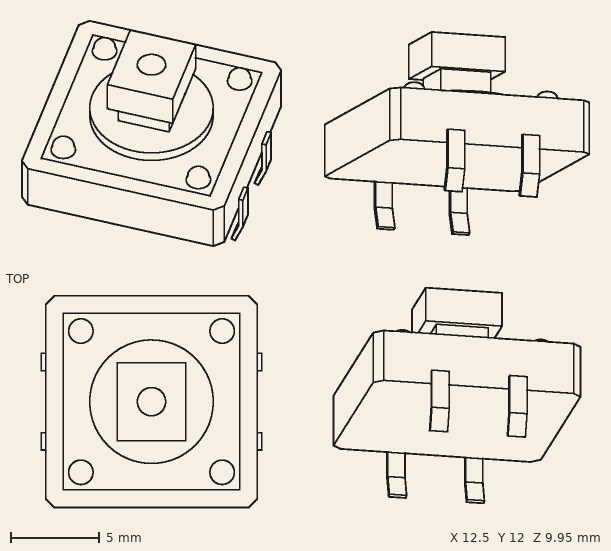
import cadquery as cq
import math

HOUSING_SIDE = 12.0
HOUSING_HEIGHT = 3.0
CORNER_CHAMFER = 0.5

STUD_OFFSET = 4.0
STUD_DIAMETER = 1.25
STUD_ROUND_RADIUS = 0.5

COVER_SIDE = 10.0
COVER_THICKNESS = 0.25

FLANGE_DIAMETER = 7.0
FLANGE_HEIGHT = 0.62
STEM_SIDE = 3.0
STEM_HEIGHT = 1.58
CAP_WIDTH = 3.88
CAP_LENGTH = 4.42
CAP_HEIGHT = 2.0
CAP_HOLE_DIAMETER = 1.6

LEAD_THICKNESS = 0.25
LEAD_WIDTH = 1.0
LEAD_OFFSET = 2.25
LEAD_TOP = 0.72
LEAD_BEND = -1.5
LEAD_TIP = -2.75
LEAD_ANGLE = math.radians(20)

COVER_BOTTOM = HOUSING_HEIGHT - COVER_THICKNESS


def square_block(side, height, bottom):
    return cq.Workplane("XY").workplane(offset=bottom).rect(side, side).extrude(height)


def make_stud():
    """Round stud on Z = 0: flared foot meeting a dome with a small flat on top."""
    radius = STUD_DIAMETER / 2
    foot_radius = radius + STUD_ROUND_RADIUS
    flat_radius = radius - STUD_ROUND_RADIUS
    waist_height = STUD_ROUND_RADIUS
    stud_height = waist_height + STUD_ROUND_RADIUS
    arc_reach = STUD_ROUND_RADIUS * math.sqrt(0.5)
    return (
        cq.Workplane("XZ")
        .lineTo(foot_radius, 0)
        .threePointArc(
            (foot_radius - arc_reach, waist_height - arc_reach),
            (radius, waist_height),
        )
        .threePointArc(
            (flat_radius + arc_reach, waist_height + arc_reach),
            (flat_radius, stud_height),
        )
        .lineTo(0, stud_height)
        .close()
        .revolve(360, (0, 0, 0), (0, 1, 0))
    )


def make_studs():
    stud = make_stud()
    return [
        stud.translate((x, y, COVER_BOTTOM))
        for x in (-STUD_OFFSET, STUD_OFFSET)
        for y in (-STUD_OFFSET, STUD_OFFSET)
    ]


def make_cover_blank():
    return square_block(COVER_SIDE, COVER_THICKNESS, COVER_BOTTOM)


def make_housing():
    housing = square_block(HOUSING_SIDE, HOUSING_HEIGHT, 0)
    housing = housing.edges("|Z").chamfer(CORNER_CHAMFER)
    housing = housing.cut(make_cover_blank())
    for stud in make_studs():
        housing = housing.union(stud)
    return housing


def make_cover():
    cover = make_cover_blank()
    for stud in make_studs():
        cover = cover.cut(stud)
    return cover


def make_button():
    return (
        cq.Workplane("XY")
        .workplane(offset=HOUSING_HEIGHT)
        .circle(FLANGE_DIAMETER / 2)
        .extrude(FLANGE_HEIGHT)
        .faces(">Z").workplane()
        .rect(STEM_SIDE, STEM_SIDE)
        .extrude(STEM_HEIGHT)
        .faces(">Z").workplane()
        .rect(CAP_WIDTH, CAP_LENGTH)
        .extrude(CAP_HEIGHT)
        .faces(">Z").workplane()
        .hole(CAP_HOLE_DIAMETER, CAP_HEIGHT)
    )


def make_lead():
    """Lead on the +X side, centred on Y = 0."""
    inner_x = HOUSING_SIDE / 2
    outer_x = inner_x + LEAD_THICKNESS
    tip_x = outer_x - (LEAD_BEND - LEAD_TIP) * math.tan(LEAD_ANGLE)
    tip_inner_x = tip_x - LEAD_THICKNESS * math.cos(LEAD_ANGLE)
    tip_inner_z = LEAD_TIP + LEAD_THICKNESS * math.sin(LEAD_ANGLE)
    inner_bend = LEAD_BEND + LEAD_THICKNESS * math.tan(LEAD_ANGLE / 2)
    return (
        cq.Workplane("XZ")
        .moveTo(inner_x, LEAD_TOP)
        .lineTo(outer_x, LEAD_TOP)
        .lineTo(outer_x, LEAD_BEND)
        .lineTo(tip_x, LEAD_TIP)
        .lineTo(tip_inner_x, tip_inner_z)
        .lineTo(inner_x, inner_bend)
        .close()
        .extrude(LEAD_WIDTH / 2, both=True)
    )


housing = make_housing()
cover = make_cover()
button = make_button()

leads = []
for turn in (0, 180):
    for y in (-LEAD_OFFSET, LEAD_OFFSET):
        lead = make_lead().rotate((0, 0, 0), (0, 0, 1), turn).translate((0, y, 0))
        leads.append(lead.val())

result = cq.Compound.makeCompound([housing.val(), cover.val(), button.val(), *leads])